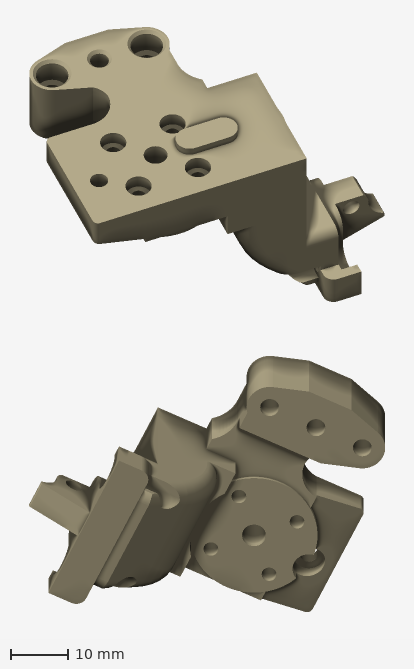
import cadquery as cq
import math

block_half_width = 11.1
block_front = -16.3
block_back = 24.0
front_corner_radius = 1.0
front_face_height = 5.1
underside_angle = 15.0
underside_slope_end = -6.7
underside_depth = 8.55

seat_radius = block_half_width
motor_radius = 11.25
seat_depth = 9.2
lip_front = 8.95
lip_bottom = 13.1

duct_front = 11.4
duct_bend_start = 13.5
duct_bend_radius = 20.0
duct_bottom = 34.8
duct_back = 30.05
duct_edge_radius = 3.0
shoulder_depth = 21.2
shoulder_radius = 2.0
bulge_half_width = 1.9
bulge_height = 0.2
bulge_depth = 18.65

flange_half_width = 14.25
flange_front = 26.65
flange_back = 33.05
flange_top = 29.9
flange_bottom = 35.65
flange_corner_radius = 1.95
screw_x = 9.25
screw_depth = 30.85
screw_diameter = 2.1
screw_boss_radius = 1.95
trough_radius = 3.2
bridge_top = 24.2
bridge_corner_radius = 3.0
foot_half_width = 10.2
foot_flat_half_width = 8.25
foot_corner_radius = 2.4

tab_half_width = 2.5
tab_hole_y = 36.2
tab_hole_depth = 26.4
tab_hole_diameter = 3.1
tab_nose_start = (38.5, -24.2)
tab_nose_mid = (39.1, -25.0)
tab_nose_end = (39.4, -25.85)
tab_hook_mid = (40.0, -28.5)
tab_tip_top = (42.35, -30.35)
tab_tip_bottom = (42.35, -31.3)
tab_tip = 42.55
tab_heel_z = -34.65

arm_left = -30.8
arm_flat_half_length = 4.1
arm_depth = 12.6
web_left = -19.1
web_back = 14.6
arm_shoulder_y = 12.05
lug_shoulder_point = (-22.35, 12.05)
web_curve_start = -18.25
web_curve_mid = (-15.55, 12.75)
web_curve_end = -13.35
notch_top = (-16.1, -2.1)
notch_arc_mid = (-12.65, -3.6)
notch_side_y = -6.75
notch_corner_mid = (-17.75, -2.6)
notch_corner_y = -3.7
lug_x = -25.0
lug_y = 9.0
lug_radius = 4.0
lug_hole_diameter = 3.3
lug_bore_diameter = 5.7
lug_bore_depth = 4.7
arm_hole_chamfer = 0.55

centre_hole_diameter = 4.2
motor_screw_offset = 5.65
motor_screw_diameter = 2.6
motor_screw_bore_diameter = 4.6
motor_screw_bore_depth = 2.6
pin_x = 1.7
pin_y = -11.5
pin_hole_diameter = 3.2
pin_bore_diameter = 5.7
pin_bore_top = 2.95
key_half_width = 2.5
key_front = 4.0
key_back = 15.4
key_height = 1.55


def box(x0, x1, y0, y1, z0, z1):
    """Box between two opposite corners."""
    return cq.Workplane("XY").box(x1 - x0, y1 - y0, z1 - z0, centered=False).translate((x0, y0, z0))


def rod_z(x, y, diameter, z0, z1):
    """Round bar along Z."""
    return cq.Workplane("XY", origin=(x, y, z0)).circle(diameter / 2).extrude(z1 - z0)


def rod_y(x, z, diameter, y0, y1):
    """Round bar along Y."""
    return cq.Workplane("XZ", origin=(x, y0, z)).circle(diameter / 2).extrude(y0 - y1)


def side_profile(half_width):
    """Sketch plane for a YZ outline that is extruded by both half widths."""
    return cq.Workplane("YZ", origin=(-half_width, 0, 0))


def make_block():
    slope_drop = (underside_slope_end - block_front) * math.tan(math.radians(underside_angle))
    block = (
        side_profile(block_half_width)
        .moveTo(block_front, 0)
        .lineTo(block_front, -front_face_height)
        .lineTo(underside_slope_end, -front_face_height - slope_drop)
        .lineTo(underside_slope_end, -underside_depth)
        .lineTo(lip_front, -underside_depth)
        .lineTo(lip_front, -lip_bottom)
        .lineTo(block_back, -lip_bottom)
        .lineTo(block_back, 0)
        .close()
        .extrude(2 * block_half_width)
    )
    block = block.edges("|Z and <Y").fillet(front_corner_radius)

    seat = rod_z(0, 0, 2 * seat_radius, -seat_depth, -front_face_height)
    motor_space = rod_z(0, 0, 2 * motor_radius, -lip_bottom, -seat_depth)
    return block.union(seat).cut(motor_space)


def make_duct():
    bend_centre_y = duct_front + duct_bend_radius
    half_bend = math.radians(22.5)
    bend_mid_y = bend_centre_y - duct_bend_radius * math.cos(half_bend)
    bend_mid_z = -duct_bend_start - duct_bend_radius * math.sin(half_bend)
    bend_end_y = bend_centre_y - duct_bend_radius * math.cos(2 * half_bend)
    bend_end_z = -duct_bend_start - duct_bend_radius * math.sin(2 * half_bend)
    foot_y = bend_end_y + duct_bottom + bend_end_z
    duct = (
        side_profile(block_half_width)
        .moveTo(duct_front, -lip_bottom)
        .lineTo(duct_front, -duct_bend_start)
        .threePointArc((bend_mid_y, bend_mid_z), (bend_end_y, bend_end_z))
        .lineTo(foot_y, -duct_bottom)
        .lineTo(duct_back, -duct_bottom)
        .lineTo(duct_back, -lip_bottom)
        .close()
        .extrude(2 * block_half_width)
    )
    duct = duct.edges("|Z and <Y").fillet(duct_edge_radius)

    above_shoulder = box(
        -block_half_width, block_half_width, block_back, duct_back, -shoulder_depth, -lip_bottom
    )
    duct = duct.cut(above_shoulder)
    step_centre = (0, (block_back + duct_back) / 2, -shoulder_depth)
    step_top = duct.faces(cq.selectors.NearestToPointSelector(step_centre))
    return step_top.edges("|Y").fillet(shoulder_radius)


def trim_duct_foot(duct):
    """Clear the screw bosses and round the foot in front of the flange."""
    for side in (-1, 1):
        outer_x = side * 2 * block_half_width
        slot = box(
            min(side * screw_x, outer_x),
            max(side * screw_x, outer_x),
            duct_front,
            flange_front,
            -screw_depth - screw_boss_radius,
            -screw_depth + screw_boss_radius,
        )
        round_end = rod_y(side * screw_x, -screw_depth, 2 * screw_boss_radius, duct_front, flange_front)
        duct = duct.cut(slot).cut(round_end)
    foot_round_half_width = foot_flat_half_width + foot_corner_radius
    foot_space = box(
        -block_half_width, block_half_width, duct_front, flange_front, -flange_bottom, -screw_depth
    )
    foot_sides = box(
        -foot_half_width, foot_half_width, duct_front, flange_front, -flange_bottom, -screw_depth
    )
    foot_outline = box(
        -foot_round_half_width, foot_round_half_width, duct_front, flange_front, -duct_bottom, -screw_depth
    )
    foot_outline = foot_outline.edges("|Y and <Z").fillet(foot_corner_radius)
    return duct.cut(foot_space.cut(foot_outline.intersect(foot_sides)))


def make_flange():
    flange = box(
        -flange_half_width, flange_half_width, flange_front, flange_back, -flange_bottom, -flange_top
    )
    flange = flange.edges("|Z and <Y").fillet(flange_corner_radius)

    bridge_half_width = screw_x - trough_radius
    bridge = box(
        -bridge_half_width, bridge_half_width, duct_back, flange_back, -screw_depth, -bridge_top
    )
    flange = flange.union(bridge.edges("|Y and >Z").fillet(bridge_corner_radius))
    for x in (-screw_x, screw_x):
        trough = rod_y(x, -screw_depth, 2 * trough_radius, duct_back, flange_back)
        opening = box(
            x - trough_radius, x + trough_radius, duct_back, flange_back, -screw_depth, -flange_top
        )
        flange = flange.cut(trough).cut(opening)
    return flange


def make_tab():
    tab = (
        side_profile(tab_half_width)
        .moveTo(duct_back, -bridge_top)
        .lineTo(*tab_nose_start)
        .threePointArc(tab_nose_mid, tab_nose_end)
        .threePointArc(tab_hook_mid, tab_tip_top)
        .threePointArc((tab_tip, (tab_tip_top[1] + tab_tip_bottom[1]) / 2), tab_tip_bottom)
        .lineTo(flange_back, tab_heel_z)
        .lineTo(duct_back, tab_heel_z)
        .close()
        .extrude(2 * tab_half_width)
    )
    pin_hole = (
        side_profile(tab_half_width)
        .center(tab_hole_y, -tab_hole_depth)
        .circle(tab_hole_diameter / 2)
        .extrude(2 * tab_half_width)
    )
    return tab.cut(pin_hole)


def make_bulge():
    """Shallow curved bulge on the back of the block."""
    return (
        cq.Workplane("XY")
        .moveTo(-bulge_half_width, block_back)
        .threePointArc((0, block_back + bulge_height), (bulge_half_width, block_back))
        .close()
        .extrude(-bulge_depth)
    )


def make_arm():
    corner_dx = lug_x - arm_left
    corner_dy = lug_y - arm_flat_half_length
    corner_distance = math.hypot(corner_dx, corner_dy)
    tangent_angle = math.atan2(corner_dy, corner_dx) + math.asin(lug_radius / corner_distance)
    tangent_x = lug_x - lug_radius * math.sin(tangent_angle)
    tangent_y = lug_y + lug_radius * math.cos(tangent_angle)
    inner_x = 2 * lug_x - tangent_x

    arm = (
        cq.Workplane("XY")
        .moveTo(arm_left, -arm_flat_half_length)
        .lineTo(arm_left, arm_flat_half_length)
        .lineTo(tangent_x, tangent_y)
        .threePointArc((lug_x, lug_y + lug_radius), lug_shoulder_point)
        .lineTo(web_curve_start, arm_shoulder_y)
        .threePointArc(web_curve_mid, (web_curve_end, web_back))
        .lineTo(0, web_back)
        .lineTo(0, notch_side_y)
        .lineTo(-block_half_width, notch_side_y)
        .threePointArc(notch_arc_mid, notch_top)
        .threePointArc(notch_corner_mid, (web_left, notch_corner_y))
        .lineTo(inner_x, -tangent_y)
        .threePointArc((lug_x, -lug_y - lug_radius), (tangent_x, -tangent_y))
        .close()
        .extrude(-arm_depth)
    )
    return arm.cut(box(web_left, 0, -2 * lug_y, 2 * lug_y, -arm_depth, -underside_depth))


def counterbored_hole(x, y, diameter, bore_diameter, bore_depth):
    """Cutter for a through hole with a wider bore from the top face."""
    through = rod_z(x, y, diameter, -lip_bottom, 0)
    return through.union(rod_z(x, y, bore_diameter, -bore_depth, 0))


def chamfer_cutter(x, y, diameter):
    """Cone that breaks the top edge of an arm hole."""
    radius = diameter / 2
    cone = cq.Solid.makeCone(radius, radius + arm_hole_chamfer, arm_hole_chamfer)
    return cq.Workplane(cone.translate(cq.Vector(x, y, -arm_hole_chamfer)))


def cut_holes(part):
    for y in (-lug_y, lug_y):
        part = part.cut(counterbored_hole(lug_x, y, lug_hole_diameter, lug_bore_diameter, lug_bore_depth))
        part = part.cut(chamfer_cutter(lug_x, y, lug_bore_diameter))
    part = part.cut(rod_z(lug_x, 0, lug_hole_diameter, -arm_depth, 0))
    part = part.cut(chamfer_cutter(lug_x, 0, lug_hole_diameter))

    for x in (-motor_screw_offset, motor_screw_offset):
        for y in (-motor_screw_offset, motor_screw_offset):
            hole = counterbored_hole(
                x, y, motor_screw_diameter, motor_screw_bore_diameter, motor_screw_bore_depth
            )
            part = part.cut(hole)
    part = part.cut(rod_z(0, 0, centre_hole_diameter, -seat_depth, 0))
    part = part.cut(rod_z(pin_x, pin_y, pin_hole_diameter, -seat_depth, 0))
    part = part.cut(rod_z(pin_x, pin_y, pin_bore_diameter, -seat_depth, -pin_bore_top))

    for x in (-screw_x, screw_x):
        part = part.cut(rod_y(x, -screw_depth, screw_diameter, flange_front, flange_back))
    return part


def make_key():
    """Raised key with round ends on the top face."""
    return (
        cq.Workplane("XY")
        .center(0, (key_front + key_back) / 2)
        .slot2D(key_back - key_front, 2 * key_half_width, 90)
        .extrude(key_height)
    )


duct = trim_duct_foot(make_duct())
body = make_block().union(make_arm()).union(duct).union(make_flange())
body = body.union(make_tab()).union(make_bulge()).union(make_key())
result = cut_holes(body)